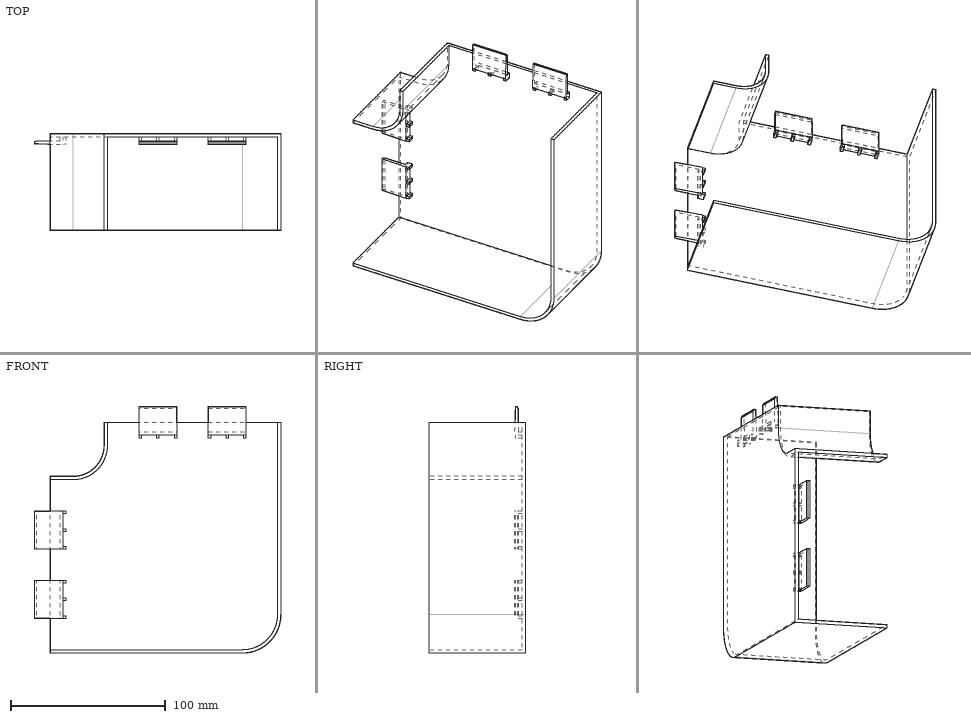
import cadquery as cq

SIZE = 159.4
DEPTH = 62.6
WALL = 2.2
TAB_REACH = 10.0
NOTCH_CORNER = 45.0
NOTCH_RADIUS = 20.0
OUTER_RADIUS = 25.0

TAB_WIDTH = 24.7
TAB_PITCH = 44.8
TAB_BACK = DEPTH - 4.8
TIP_THICKNESS = 1.9
BASE_THICKNESS = 2.4
TAB_LENGTH = 18.3
TIP_CHAMFER_LENGTH = 1.3
TIP_CHAMFER_DEPTH = 0.6
FOOT_THICKNESS = 1.9
RIB_LENGTH = 1.9
RIB_WIDTH = 1.8
RIBS_PER_TAB = 3

open_end = TAB_REACH
top_end = SIZE - TAB_REACH
duct_center = (NOTCH_CORNER + SIZE) / 2


def elbow_prism(inset, depth):
    """Elbow outline with its two curved walls moved inward by inset, extruded from Y = 0."""
    corner = NOTCH_CORNER + inset
    far_side = SIZE - inset
    notch_radius = NOTCH_RADIUS + inset
    outer_radius = OUTER_RADIUS - inset
    return (
        cq.Workplane("XZ")
        .moveTo(open_end, inset)
        .lineTo(far_side - outer_radius, inset)
        .radiusArc((far_side, inset + outer_radius), -outer_radius)
        .lineTo(far_side, top_end)
        .lineTo(corner, top_end)
        .lineTo(corner, SIZE - corner + notch_radius)
        .radiusArc((corner - notch_radius, SIZE - corner), notch_radius)
        .lineTo(open_end, SIZE - corner)
        .close()
        .extrude(-depth)
    )


def tab(plane):
    """Snap tab; the plane's x runs inward from the tip, its y along -Y, its z across the width."""
    panel_y = -(DEPTH - WALL - TAB_BACK)
    plate = (
        cq.Workplane(plane)
        .polyline([
            (0, TIP_CHAMFER_DEPTH),
            (0, TIP_THICKNESS),
            (TAB_LENGTH, BASE_THICKNESS),
            (TAB_LENGTH, panel_y),
            (TAB_LENGTH - FOOT_THICKNESS, panel_y),
            (TAB_LENGTH - FOOT_THICKNESS, 0),
            (TIP_CHAMFER_LENGTH, 0),
        ])
        .close()
        .extrude(TAB_WIDTH / 2, both=True)
    )
    rib_spacing = (TAB_WIDTH - RIB_WIDTH) / (RIBS_PER_TAB - 1)
    for index in range(RIBS_PER_TAB):
        offset = -TAB_WIDTH / 2 + index * rib_spacing
        rib = (
            cq.Workplane(plane)
            .workplane(offset=offset)
            .moveTo(TAB_LENGTH, panel_y)
            .rect(RIB_LENGTH, TIP_THICKNESS - panel_y, centered=False)
            .extrude(RIB_WIDTH)
        )
        plate = plate.union(rib)
    return plate


body = elbow_prism(0, DEPTH).cut(elbow_prism(WALL, DEPTH - WALL))

for side in (-1, 1):
    center = duct_center + side * TAB_PITCH / 2
    top_plane = cq.Plane(origin=(center, TAB_BACK, SIZE), xDir=(0, 0, -1), normal=(-1, 0, 0))
    left_plane = cq.Plane(origin=(0, TAB_BACK, SIZE - center), xDir=(1, 0, 0), normal=(0, 0, -1))
    body = body.union(tab(top_plane)).union(tab(left_plane))

result = body